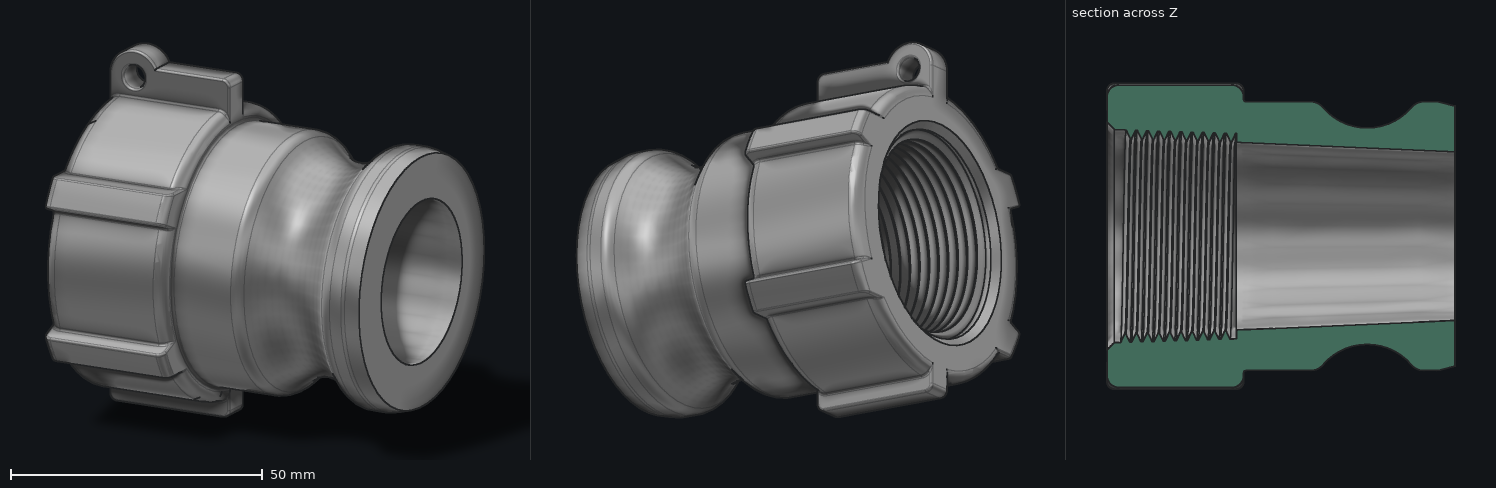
import cadquery as cq
import math

total_length = 69.09
nut_length = 27.15
nut_radius = 30.1
nut_edge_radius = 2.4
root_radius = 0.5
surface_tolerance = 0.01

spigot_radius = 53.47 / 2
groove_center_x = 51.65
groove_radius = 11.5
groove_depth = 5.2
groove_shoulder_radius = 3.15
nose_length = 3.3
nose_angle = 15
nose_blend_radius = 3.0

lug_tip_radius = 33.35
lug_corner_radius = 1.6
lug_edge_radius = 0.45
side_lug_top_z = 18.95
side_lug_tip_y = 30.525
side_lug_flank_angle = 22.5
lug_root_radius = 19.5
rib_thickness = 6.0
rib_top_z = 36.55

ear_radius = 5.55
ear_top_z = 39.73
ear_hole_diameter = 4.83

bore_end_radius = 16.7
thread_root_radius = 21.1
thread_height = 1.75
thread_pitch = 2.209
thread_turns = 10
thread_root_gap = 0.1
thread_base_width = thread_pitch - thread_root_gap
thread_crest_width = 0.25
thread_taper = 1 / 32
thread_embed = 0.2
rim_chamfer = 1.5
thread_zone_end_x = 25.7


def make_nut():
    """Plain round nut with rounded rims."""
    nut = cq.Workplane("YZ").circle(nut_radius).extrude(nut_length)
    return nut.edges().fillet(nut_edge_radius)


def make_spigot():
    """Turned adapter end: root fillet at the nut, concave cam groove and tapered nose."""
    blend_sum = groove_radius + groove_shoulder_radius
    half_width = math.sqrt(blend_sum**2 - (blend_sum - groove_depth) ** 2)
    tangent_offset = half_width * groove_radius / blend_sum
    floor_radius = spigot_radius - groove_depth
    arc_center_radius = floor_radius + groove_radius
    tangent_radius = arc_center_radius - math.sqrt(groove_radius**2 - tangent_offset**2)

    def shoulder_middle(side):
        half_angle = math.asin(half_width / blend_sum) / 2
        x = groove_center_x + side * (half_width - groove_shoulder_radius * math.sin(half_angle))
        return x, spigot_radius - groove_shoulder_radius * (1 - math.cos(half_angle))

    nose_start_x = total_length - nose_length
    nose_slope = math.radians(nose_angle)
    nose_end_radius = spigot_radius - nose_length * math.tan(nose_slope)
    blend_length = nose_blend_radius * math.tan(nose_slope / 2)
    blend_middle = (
        nose_start_x - blend_length + nose_blend_radius * math.sin(nose_slope / 2),
        spigot_radius - nose_blend_radius * (1 - math.cos(nose_slope / 2)),
    )
    blend_end = (
        nose_start_x + blend_length * math.cos(nose_slope),
        spigot_radius - blend_length * math.sin(nose_slope),
    )
    start_x = nut_length / 2
    profile = (
        cq.Workplane("XY")
        .moveTo(start_x, 0)
        .lineTo(start_x, spigot_radius + root_radius)
        .lineTo(nut_length, spigot_radius + root_radius)
        .radiusArc((nut_length + root_radius, spigot_radius), -root_radius)
        .lineTo(groove_center_x - half_width, spigot_radius)
        .threePointArc(shoulder_middle(-1), (groove_center_x - tangent_offset, tangent_radius))
        .threePointArc((groove_center_x, floor_radius), (groove_center_x + tangent_offset, tangent_radius))
        .threePointArc(shoulder_middle(1), (groove_center_x + half_width, spigot_radius))
        .lineTo(nose_start_x - blend_length, spigot_radius)
        .threePointArc(blend_middle, blend_end)
        .lineTo(total_length, nose_end_radius)
        .lineTo(total_length, 0)
        .close()
    )
    return profile.revolve(360, (0, 0, 0), (1, 0, 0))


def make_side_lug():
    """Lug in the +Y +Z quadrant: level top, sloped lower flank, tip concentric with the nut."""
    top_tip_y = math.sqrt(lug_tip_radius**2 - side_lug_top_z**2)
    low_tip_z = math.sqrt(lug_tip_radius**2 - side_lug_tip_y**2)
    middle_angle = (math.atan2(side_lug_top_z, top_tip_y) + math.atan2(low_tip_z, side_lug_tip_y)) / 2
    tip_middle = (lug_tip_radius * math.cos(middle_angle), lug_tip_radius * math.sin(middle_angle))
    flank_drop = (side_lug_tip_y - lug_root_radius) * math.tan(math.radians(side_lug_flank_angle))
    lug = (
        cq.Workplane("YZ")
        .moveTo(lug_root_radius, side_lug_top_z)
        .lineTo(top_tip_y, side_lug_top_z)
        .threePointArc(tip_middle, (side_lug_tip_y, low_tip_z))
        .lineTo(lug_root_radius, low_tip_z - flank_drop)
        .close()
        .extrude(nut_length)
    )
    tip_point = (nut_length / 2, *tip_middle)
    tip_ends = lug.faces(cq.NearestToPointSelector(tip_point)).edges("not(|X)")
    lug = tip_ends.fillet(lug_corner_radius)
    flank_edges = lug.faces(">Z or <Z").edges("not(<Y)")
    return flank_edges.fillet(lug_edge_radius)


def make_bottom_rib():
    """Upright rib below the nut."""
    height = lug_tip_radius - lug_root_radius
    rib = cq.Workplane("XY").box(nut_length, rib_thickness, height, centered=(False, True, False))
    rib = rib.translate((0, 0, -lug_tip_radius))
    rib = rib.edges("|Y and <Z").fillet(lug_corner_radius)
    return rib.faces("|Y").edges("not(>Z)").fillet(lug_edge_radius)


def make_top_rib():
    """Upright rib above the nut, ending in a round ear at the open end."""
    ear_center_z = ear_top_z - ear_radius
    ear = cq.Workplane("XZ").center(ear_radius, ear_center_z).circle(ear_radius)
    ear = ear.extrude(rib_thickness / 2, both=True)
    post = cq.Workplane("XY").box(
        2 * ear_radius, rib_thickness, ear_center_z - lug_root_radius, centered=(False, True, False)
    )
    bar = cq.Workplane("XY").box(
        nut_length - ear_radius, rib_thickness, rib_top_z - lug_root_radius, centered=(False, True, False)
    )
    bar = bar.edges("|Y and >X and >Z").fillet(lug_corner_radius).translate((ear_radius, 0, 0))
    rib = post.union(bar).translate((0, 0, lug_root_radius)).union(ear)
    hole = (
        cq.Workplane("XZ").center(ear_radius, ear_center_z)
        .circle(ear_hole_diameter / 2).extrude(rib_thickness, both=True)
    )
    return rib.cut(hole).faces("|Y").edges("not(<Z)").fillet(lug_edge_radius)


def make_bore():
    """Turned cutter: rim chamfer, tapered thread zone and the long cone beyond it."""
    zone_end_radius = thread_root_radius - thread_taper * (thread_zone_end_x - rim_chamfer)
    return (
        cq.Workplane("XY")
        .moveTo(0, 0)
        .lineTo(0, thread_root_radius + rim_chamfer)
        .lineTo(rim_chamfer, thread_root_radius)
        .lineTo(thread_zone_end_x, zone_end_radius)
        .lineTo(thread_zone_end_x, zone_end_radius - thread_height)
        .lineTo(total_length, bore_end_radius)
        .lineTo(total_length, 0)
        .close()
        .revolve(360, (0, 0, 0), (1, 0, 0))
    )


def make_thread():
    """Tapered right-hand thread ridge that starts at +Y."""
    taper_angle = math.degrees(math.atan(thread_taper))
    helix = cq.Wire.makeHelix(
        thread_pitch, thread_pitch * thread_turns, thread_root_radius, angle=-taper_angle
    )
    ridge = (
        cq.Workplane("XZ")
        .polyline([
            (thread_root_radius + thread_embed, -thread_base_width / 2),
            (thread_root_radius - thread_height, -thread_crest_width / 2),
            (thread_root_radius - thread_height, thread_crest_width / 2),
            (thread_root_radius + thread_embed, thread_base_width / 2),
        ])
        .close()
        .sweep(cq.Workplane(obj=helix), isFrenet=True)
    )
    ridge = ridge.rotate((0, 0, 0), (0, 0, 1), 90).rotate((0, 0, 0), (0, 1, 0), 90)
    return ridge.translate((rim_chamfer + thread_base_width / 2, 0, 0))


def round_lug_roots(body):
    """Fillet the straight corners where lug flanks meet the nut; the fillets run on over its rims."""

    def on_nut_surface(edge):
        middle = edge.positionAt(0.5)
        return math.isclose(math.hypot(middle.y, middle.z), nut_radius, abs_tol=surface_tolerance)

    corners = [edge for edge in body.edges("|X").vals() if on_nut_surface(edge)]
    return body.newObject(corners).fillet(root_radius)


side_lug = make_side_lug()
result = make_nut()
for lug in (side_lug, side_lug.mirror("XZ")):
    result = result.union(lug).union(lug.mirror("XY"))
result = result.union(make_bottom_rib()).union(make_top_rib())
result = round_lug_roots(result).union(make_spigot())
result = result.cut(make_bore()).union(make_thread())